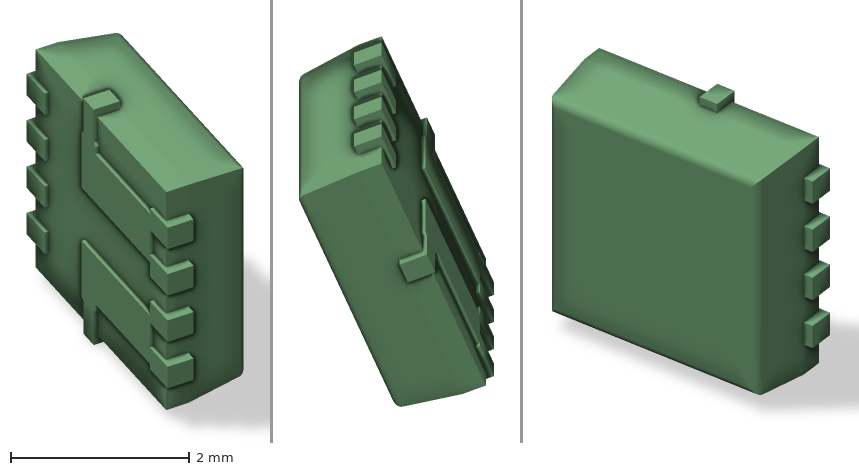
import cadquery as cq

overall = 3.3
package_depth = 1.12
metal_thickness = 0.333
standoff = 0.05
terminal_reach = 0.122
draft_angle = 6.0
back_round = 0.1

terminal_pitch = 0.65
terminal_width = 0.3
lead_length = 0.425
pad_terminal_length = 0.412

pad_left = -0.36
pad_inner_z = 0.373
pad_outer_z = 1.053
tab_width = 0.245
shoulder_width = 0.32
shoulder_z = 1.188
shoulder_chamfer = (shoulder_width - tab_width) / 2

half = overall / 2
mould_size = overall - 2 * terminal_reach
inner_terminal_z = terminal_pitch / 2
outer_terminal_z = 1.5 * terminal_pitch


def terminal_span(center_z):
    """Z limits of the terminal centred at center_z."""
    return (center_z - terminal_width / 2, center_z + terminal_width / 2)


def make_lead(center_z):
    """Separate lead on the -X side."""
    lead = cq.Workplane("XY").box(lead_length, metal_thickness, terminal_width)
    return lead.translate((-half + lead_length / 2, metal_thickness / 2, center_z))


def make_pad():
    """Upper pad: plate, shouldered tab on the +Z side and two terminals on the +X side."""
    terminal_start = half - pad_terminal_length
    inner_low, inner_high = terminal_span(inner_terminal_z)
    outer_low, outer_high = terminal_span(outer_terminal_z)
    shoulder_right = pad_left + shoulder_width
    tab_left = pad_left + shoulder_chamfer
    tab_right = tab_left + tab_width
    outline = [
        (pad_left, pad_inner_z),
        (terminal_start, pad_inner_z),
        (terminal_start, inner_low),
        (half, inner_low),
        (half, inner_high),
        (terminal_start, inner_high),
        (terminal_start, outer_low),
        (half, outer_low),
        (half, outer_high),
        (terminal_start, outer_high),
        (terminal_start, pad_outer_z),
        (shoulder_right, pad_outer_z),
        (shoulder_right, shoulder_z - shoulder_chamfer),
        (tab_right, shoulder_z),
        (tab_right, half),
        (tab_left, half),
        (tab_left, shoulder_z),
        (pad_left, shoulder_z - shoulder_chamfer),
    ]
    return cq.Workplane("XZ").polyline(outline).close().extrude(-metal_thickness)


def make_housing(metal_parts):
    """Moulded block with a drafted, rounded back and a recess for each metal part."""
    base_depth = metal_thickness - standoff
    base = (
        cq.Workplane("XZ", origin=(0, standoff, 0))
        .rect(mould_size, mould_size)
        .extrude(-base_depth)
    )
    cap = (
        cq.Workplane("XZ", origin=(0, metal_thickness, 0))
        .rect(mould_size, mould_size)
        .extrude(-(package_depth - metal_thickness), taper=draft_angle)
        .faces(">Y")
        .edges()
        .fillet(back_round)
    )
    housing = base.union(cap)
    for metal in metal_parts:
        housing = housing.cut(metal)
    return housing


lead_positions = [-outer_terminal_z, -inner_terminal_z, inner_terminal_z, outer_terminal_z]
leads = [make_lead(center_z) for center_z in lead_positions]
upper_pad = make_pad()
pads = [upper_pad, upper_pad.mirror("XY")]
housing = make_housing(leads + pads)

result = cq.Compound.makeCompound([housing.val(), *[part.val() for part in leads + pads]])